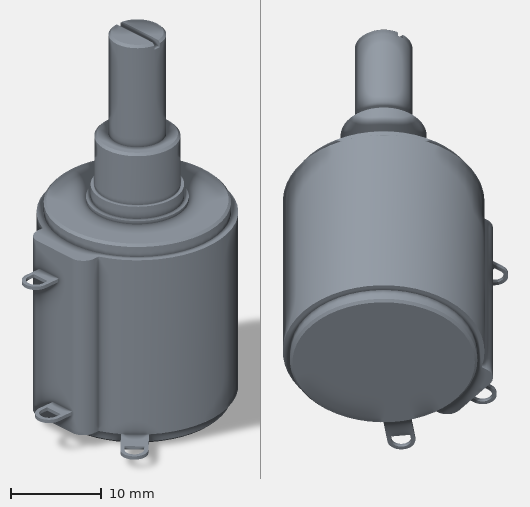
import cadquery as cq

case_radius = 11.1
cap_radius = 10.3
washer_radius = 5.65
collar_radius = 5.15
bushing_radius = 4.75
shaft_radius = 3.18

case_bottom = 1.55
case_top = 23.5
cap_top = 25.0
washer_top = 25.4
collar_top = 26.95
bushing_top = 33.35
shaft_top = 46.05

edge_chamfer = 0.28

slot_width = 0.85
slot_depth = 0.8

block_width = 8.95
block_reach = 12.55
block_corner_radius = 1.7

lug_width = 3.1
lug_thickness = 0.4
lug_wall = 0.45
lug_embedding = 0.9
eye_length = 1.85
block_lug_reach = 16.15
side_lug_reach = 16.0
side_lug_angle = 45
upper_lug_x = -0.87
upper_lug_bottom = 19.7
lower_lug_x = 1.25
lower_lug_bottom = 3.8
side_lug_bottom = case_bottom - lug_thickness
lug_root = cap_radius - lug_embedding


def cylinder(radius, bottom, top):
    """Cylinder on the Z axis between two heights."""
    return cq.Workplane("XY").workplane(offset=bottom).circle(radius).extrude(top - bottom)


def round_ended_tab(start, arc_centre, radius, thickness):
    """Flat tab pointing to -Y: straight end at start, half-round tip about arc_centre."""
    return (
        cq.Workplane("XY")
        .moveTo(-radius, start)
        .lineTo(-radius, arc_centre)
        .threePointArc((0, arc_centre - radius), (radius, arc_centre))
        .lineTo(radius, start)
        .close()
        .extrude(thickness)
    )


def solder_lug(reach):
    """Lug pointing to -Y, with its tip at the given distance from the Z axis."""
    tip_radius = lug_width / 2
    arc_centre = tip_radius - reach
    eye_start = lug_wall + eye_length - reach
    tab = round_ended_tab(-lug_root, arc_centre, tip_radius, lug_thickness)
    eye = round_ended_tab(eye_start, arc_centre, tip_radius - lug_wall, lug_thickness)
    return tab.cut(eye)


def terminal_block():
    """Block running the full height of the case, with rounded outer corners."""
    return (
        cq.Workplane("XY")
        .workplane(offset=case_bottom)
        .center(0, -block_reach / 2)
        .rect(block_width, block_reach)
        .extrude(case_top - case_bottom)
        .edges("|Z and <Y")
        .fillet(block_corner_radius)
    )


def slotted_shaft():
    """Shaft with a chamfered end and a slot along X."""
    shaft = cylinder(shaft_radius, cap_top, shaft_top).faces(">Z").chamfer(edge_chamfer)
    slot = (
        cq.Workplane("XY")
        .workplane(offset=shaft_top - slot_depth)
        .rect(2 * shaft_radius, slot_width)
        .extrude(slot_depth)
    )
    return shaft.cut(slot)


result = cylinder(cap_radius, 0, cap_top).faces("<Z or >Z").chamfer(edge_chamfer)
result = result.union(cylinder(case_radius, case_bottom, case_top))
result = result.union(terminal_block())

result = result.union(cylinder(washer_radius, case_top, washer_top))
result = result.union(cylinder(collar_radius, case_top, collar_top))
result = result.union(cylinder(bushing_radius, case_top, bushing_top).faces(">Z").chamfer(edge_chamfer))
result = result.union(slotted_shaft())

for lug_x, lug_bottom in ((upper_lug_x, upper_lug_bottom), (lower_lug_x, lower_lug_bottom)):
    result = result.union(solder_lug(block_lug_reach).translate((lug_x, 0, lug_bottom)))

side_lug = solder_lug(side_lug_reach).rotate((0, 0, 0), (0, 0, 1), side_lug_angle)
result = result.union(side_lug.translate((0, 0, side_lug_bottom)))